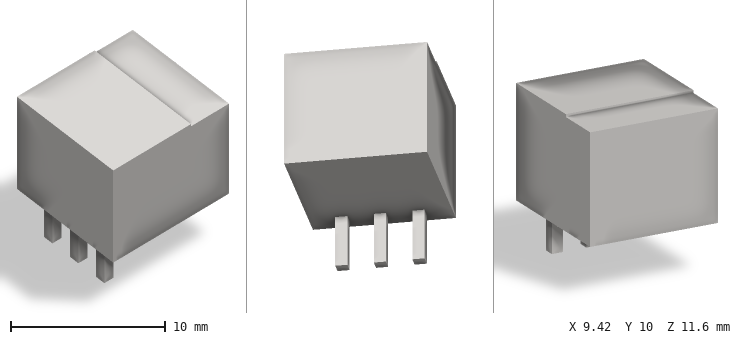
import cadquery as cq

body_width = 9.42
body_depth = 10.0
overall_height = 11.6

pin_count = 3
pin_side = 0.8
pin_pitch = 2.54
pin_length = 3.5
pin_row_from_front = 1.2

step_depth = 3.3
step_drop = 0.2

body_height = overall_height - pin_length


def make_body():
    """Housing block, underside at Z = 0, with its back top edge stepped down."""
    front = -body_depth / 2
    back = body_depth / 2
    step = back - step_depth
    side_outline = [
        (front, 0),
        (back, 0),
        (back, body_height - step_drop),
        (step, body_height - step_drop),
        (step, body_height),
        (front, body_height),
    ]
    return cq.Workplane("YZ").polyline(side_outline).close().extrude(body_width / 2, both=True)


def make_pins():
    """Row of square pins hanging below the housing near its front face."""
    row_y = -body_depth / 2 + pin_row_from_front
    return (
        cq.Workplane("XY")
        .center(0, row_y)
        .rarray(pin_pitch, 0.12, pin_count, 1)
        .rect(pin_side, pin_side)
        .extrude(-pin_length)
    )


result = make_body().union(make_pins())